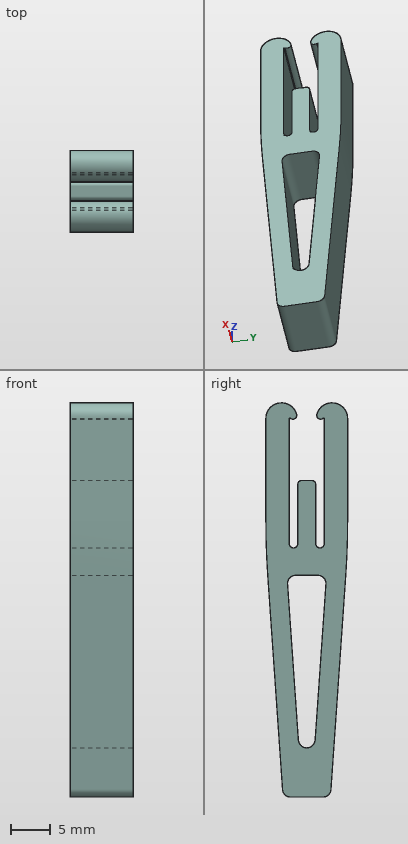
import cadquery as cq
import math

height = 49.9
width = 10.4
thickness = 8.0
half_width = width / 2

bend_top = 34.9
bend_bottom = 28.05
bend_radius = 99.8
foot_radius = 1.0

head_radius = 2.0
lip_radius = 0.5
lip_rise = 0.4
arm_inner = 2.2

tongue_half_width = 1.15
tongue_top = 40.05
tongue_radius = 0.5
slot_bottom = 31.55

window_top = 28.05
window_bottom = 6.25
window_end_radius = 1.05
window_corner_radius = 1.0

taper = math.asin((bend_top - bend_bottom) / bend_radius)


def extrude_centred(profile):
    return profile.extrude(thickness / 2, both=True)


def mirrored(points):
    return [(-y, z) for y, z in reversed(points)]


def make_body():
    """Solid outline, with a flat top level with the head centres."""
    def bend_point(angle):
        return (half_width - bend_radius * (1 - math.cos(angle)), bend_top - bend_radius * math.sin(angle))

    side_top = (half_width, height - head_radius)
    bend_start = bend_point(0)
    bend_middle = bend_point(taper / 2)
    bend_end = bend_point(taper)
    foot = (bend_end[0] - bend_end[1] * math.tan(taper), 0)
    left_foot, left_end, left_middle, left_start, left_top = mirrored(
        [side_top, bend_start, bend_middle, bend_end, foot]
    )
    profile = (
        cq.Workplane("YZ")
        .moveTo(*side_top)
        .lineTo(*bend_start)
        .threePointArc(bend_middle, bend_end)
        .lineTo(*foot)
        .lineTo(*left_foot)
        .lineTo(*left_end)
        .threePointArc(left_middle, left_start)
        .lineTo(*left_top)
        .close()
    )
    return extrude_centred(profile).edges("|X and <Z").fillet(foot_radius)


def make_head():
    """Rounded head of the +Y arm, with a lip tangent to the inside of the head arc."""
    head_y = half_width - head_radius
    head_z = height - head_radius
    lip_angle = math.asin(lip_rise / (head_radius - lip_radius))
    lip_y = head_y - (head_radius - lip_radius) * math.cos(lip_angle)
    lip_z = head_z + lip_rise
    tangent = (head_y - head_radius * math.cos(lip_angle), head_z + head_radius * math.sin(lip_angle))
    lip_end_y = lip_y + math.sqrt(lip_radius**2 - lip_rise**2)
    profile = (
        cq.Workplane("YZ")
        .moveTo(half_width, head_z)
        .threePointArc((head_y, height), tangent)
        .threePointArc((lip_y, lip_z - lip_radius), (lip_end_y, head_z))
        .close()
    )
    return extrude_centred(profile)


def make_arm_gap():
    """Space between the arms: two round-bottomed slots around the tongue."""
    slot_radius = (arm_inner - tongue_half_width) / 2
    slot_y = arm_inner - slot_radius
    slot_z = slot_bottom + slot_radius
    profile = (
        cq.Workplane("YZ")
        .moveTo(-arm_inner, height)
        .lineTo(-arm_inner, slot_z)
        .threePointArc((-slot_y, slot_bottom), (-tongue_half_width, slot_z))
        .lineTo(-tongue_half_width, tongue_top - tongue_radius)
        .radiusArc((-tongue_half_width + tongue_radius, tongue_top), tongue_radius)
        .lineTo(tongue_half_width - tongue_radius, tongue_top)
        .radiusArc((tongue_half_width, tongue_top - tongue_radius), tongue_radius)
        .lineTo(tongue_half_width, slot_z)
        .threePointArc((slot_y, slot_bottom), (arm_inner, slot_z))
        .lineTo(arm_inner, height)
        .close()
    )
    return extrude_centred(profile)


def make_window():
    """Window with sides parallel to the outer taper and a tangent round lower end."""
    tangent_y = window_end_radius * math.cos(taper)
    tangent_z = window_bottom + window_end_radius * (1 - math.sin(taper))
    top_y = tangent_y + (window_top - tangent_z) * math.tan(taper)
    profile = (
        cq.Workplane("YZ")
        .moveTo(-top_y, window_top)
        .lineTo(-tangent_y, tangent_z)
        .threePointArc((0, window_bottom), (tangent_y, tangent_z))
        .lineTo(top_y, window_top)
        .close()
    )
    return extrude_centred(profile).edges("|X and >Z").fillet(window_corner_radius)


head = make_head()
result = (
    make_body()
    .cut(make_arm_gap())
    .union(head)
    .union(head.mirror("XZ"))
    .cut(make_window())
)